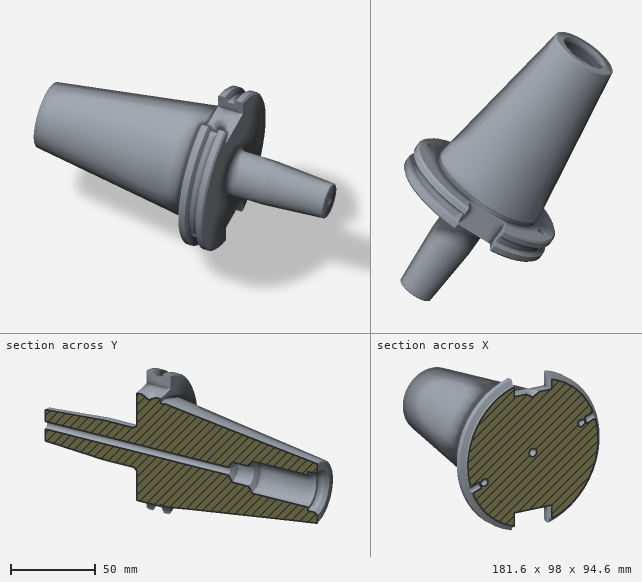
import cadquery as cq
import math

TOTAL_LENGTH = 181.6
GAUGE_X = 101.5
FLANGE_START = 104.6
FLANGE_END = 120.5
CYLINDER_END = 143.5

GAUGE_DIAMETER = 70.1
TAPER_PER_LENGTH = 7 / 24
SMALL_END_DIAMETER = GAUGE_DIAMETER - TAPER_PER_LENGTH * GAUGE_X
SMALL_END_CHAMFER = 0.5
NECK_DIAMETER = 69.2
NECK_STEP_LENGTH = 1.0

FLANGE_DIAMETER = 98.0
FLANGE_CHAMFER = 1.0
GROOVE_DEPTH = 3.3
GROOVE_FLOOR_WIDTH = 3.8
GROOVE_TOP_WIDTH = 7.0
GROOVE_MIDDLE = (FLANGE_START + FLANGE_END) / 2

SLOT_WIDTH = 25.6
UPPER_SLOT_FLOOR = 37.6
LOWER_SLOT_FLOOR = 35.5
DIMPLE_DIAMETER = 9.5
DIMPLE_DEPTH = 2.7

NOSE_DIAMETER = 27.0
ROOT_RADIUS = 2.9
NOSE_TIP_DIAMETER = 21.6
NOSE_TIP_CHAMFER = 0.5

BORE_MOUTH_DIAMETER = 29.0
COUNTERBORE_DIAMETER = 26.2
MOUTH_LENGTH = 2.4
COUNTERBORE_LENGTH = 6.5
BORE_DIAMETER = 21.5
BORE_END = 43.5
CONE_HALF_ANGLE = 59
INNER_BORE_DIAMETER = 13.5
INNER_BORE_LENGTH = 10.9
THROUGH_DIAMETER = 4.9

COOLANT_ANGLE = 20
COOLANT_MOUTH_RADIUS = 41.5
COOLANT_TILT = 35
COOLANT_DIAMETER = 5.0
COOLANT_WIDE_DEPTH = 2.2
COOLANT_INNER_DIAMETER = 4.2
COOLANT_DEPTH = 10.9
CROSS_HOLE_DIAMETER = 4.2
CROSS_HOLE_DEPTH = 6.4


def outer_body():
    """Solid of revolution about X: taper, neck, grooved flange and nose."""
    flange_radius = FLANGE_DIAMETER / 2
    rim_radius = flange_radius - FLANGE_CHAMFER
    groove_radius = flange_radius - GROOVE_DEPTH
    nose_radius = NOSE_DIAMETER / 2
    small_radius = SMALL_END_DIAMETER / 2
    neck_radius = NECK_DIAMETER / 2
    tip_radius = NOSE_TIP_DIAMETER / 2
    arc_shift = ROOT_RADIUS * (1 - math.sqrt(0.5))
    profile = (
        cq.Workplane("XY")
        .moveTo(0, 0)
        .lineTo(0, small_radius - SMALL_END_CHAMFER)
        .lineTo(SMALL_END_CHAMFER, small_radius + TAPER_PER_LENGTH / 2 * SMALL_END_CHAMFER)
        .lineTo(GAUGE_X, GAUGE_DIAMETER / 2)
        .lineTo(GAUGE_X + NECK_STEP_LENGTH, neck_radius)
        .lineTo(FLANGE_START, neck_radius)
        .lineTo(FLANGE_START, rim_radius)
        .lineTo(FLANGE_START + FLANGE_CHAMFER, flange_radius)
        .lineTo(GROOVE_MIDDLE - GROOVE_TOP_WIDTH / 2, flange_radius)
        .lineTo(GROOVE_MIDDLE - GROOVE_FLOOR_WIDTH / 2, groove_radius)
        .lineTo(GROOVE_MIDDLE + GROOVE_FLOOR_WIDTH / 2, groove_radius)
        .lineTo(GROOVE_MIDDLE + GROOVE_TOP_WIDTH / 2, flange_radius)
        .lineTo(FLANGE_END - FLANGE_CHAMFER, flange_radius)
        .lineTo(FLANGE_END, rim_radius)
        .lineTo(FLANGE_END, nose_radius + ROOT_RADIUS)
        .threePointArc(
            (FLANGE_END + arc_shift, nose_radius + arc_shift),
            (FLANGE_END + ROOT_RADIUS, nose_radius),
        )
        .lineTo(CYLINDER_END, nose_radius)
        .lineTo(TOTAL_LENGTH - NOSE_TIP_CHAMFER, tip_radius)
        .lineTo(TOTAL_LENGTH, tip_radius - NOSE_TIP_CHAMFER)
        .lineTo(TOTAL_LENGTH, 0)
        .close()
    )
    return profile.revolve(360, (0, 0, 0), (1, 0, 0))


def stepped_bore():
    """Bore narrowing from the small taper end to the coolant passage."""
    bore_radius = BORE_DIAMETER / 2
    inner_radius = INNER_BORE_DIAMETER / 2
    through_radius = THROUGH_DIAMETER / 2
    cone_slope = 1 / math.tan(math.radians(CONE_HALF_ANGLE))
    inner_start = BORE_END + (bore_radius - inner_radius) * cone_slope
    inner_end = inner_start + INNER_BORE_LENGTH
    profile = (
        cq.Workplane("XY")
        .moveTo(0, 0)
        .lineTo(0, BORE_MOUTH_DIAMETER / 2)
        .lineTo(MOUTH_LENGTH, COUNTERBORE_DIAMETER / 2)
        .lineTo(COUNTERBORE_LENGTH, COUNTERBORE_DIAMETER / 2)
        .lineTo(COUNTERBORE_LENGTH, bore_radius)
        .lineTo(BORE_END, bore_radius)
        .lineTo(inner_start, inner_radius)
        .lineTo(inner_end, inner_radius)
        .lineTo(inner_end + (inner_radius - through_radius) * cone_slope, through_radius)
        .lineTo(TOTAL_LENGTH, through_radius)
        .lineTo(TOTAL_LENGTH, 0)
        .close()
    )
    return profile.revolve(360, (0, 0, 0), (1, 0, 0))


def drive_slot(floor_distance, side):
    """Slot across the flange on the +Z (side = 1) or -Z (side = -1) half."""
    height = FLANGE_DIAMETER / 2
    return cq.Workplane("XY").box(
        FLANGE_END - FLANGE_START, SLOT_WIDTH, height
    ).translate((GROOVE_MIDDLE, 0, side * (floor_distance + height / 2)))


def slot_dimple():
    """Conical dimple in the upper slot floor."""
    cone = cq.Solid.makeCone(
        DIMPLE_DIAMETER / 2, 0, DIMPLE_DEPTH,
        cq.Vector(GROOVE_MIDDLE, 0, UPPER_SLOT_FLOOR), cq.Vector(0, 0, -1),
    )
    return cq.Workplane(cone)


def drill(diameter, start, direction, depth, lead=0.0):
    """Round cutter that begins a lead distance before the start point."""
    unit = direction.normalized()
    cylinder = cq.Solid.makeCylinder(diameter / 2, depth + lead, start - unit * lead, unit)
    return cq.Workplane(cylinder)


def coolant_holes(angle):
    """Tilted stepped hole from the flange face and the cross hole that meets it."""
    outward = cq.Vector(0, math.cos(math.radians(angle)), math.sin(math.radians(angle)))
    tilt = math.radians(COOLANT_TILT)
    inclined = cq.Vector(math.cos(tilt), 0, 0) - outward * math.sin(tilt)
    mouth = cq.Vector(FLANGE_START, 0, 0) + outward * COOLANT_MOUTH_RADIUS
    groove_radius = FLANGE_DIAMETER / 2 - GROOVE_DEPTH
    cross_start = cq.Vector(GROOVE_MIDDLE, 0, 0) + outward * groove_radius
    wide = drill(COOLANT_DIAMETER, mouth, inclined, COOLANT_WIDE_DEPTH, COOLANT_DIAMETER / 2)
    narrow = drill(COOLANT_INNER_DIAMETER, mouth, inclined, COOLANT_DEPTH)
    cross = drill(CROSS_HOLE_DIAMETER, cross_start, -outward, CROSS_HOLE_DEPTH, GROOVE_DEPTH)
    return wide.union(narrow).union(cross)


result = outer_body().cut(stepped_bore())
result = result.cut(drive_slot(UPPER_SLOT_FLOOR, 1))
result = result.cut(drive_slot(LOWER_SLOT_FLOOR, -1))
result = result.cut(slot_dimple())
for hole_angle in (COOLANT_ANGLE, COOLANT_ANGLE + 180):
    result = result.cut(coolant_holes(hole_angle))